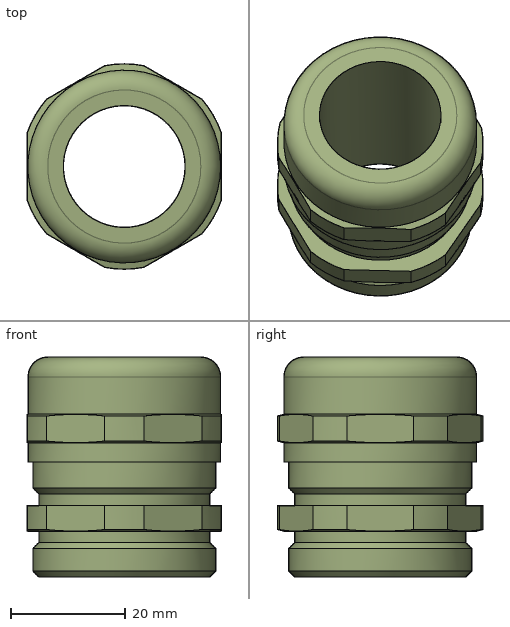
import cadquery as cq

height = 38.5
bore_radius = 10.62

thread_radius = 16.0
thread_chamfer = 1.05
neck_radius = thread_radius - thread_chamfer
lower_thread_top = 6.05
upper_thread_bottom = 14.55
upper_thread_top = 20.1

cap_radius = 16.85
cap_rounding = 3.45

hex_across_flats = 34.0
hex_corner_radius = 17.97
hex_bevel_height = 0.3
hex_rim_radius = cap_radius
lower_hex_bottom = 8.0
lower_hex_top = 12.5
upper_hex_bottom = 23.48
upper_hex_top = 28.5


def cylinder(radius, bottom, top):
    return cq.Workplane("XY").workplane(offset=bottom).circle(radius).extrude(top - bottom)


def threaded_section(bottom, top, edges):
    return cylinder(thread_radius, bottom, top).edges(edges).chamfer(thread_chamfer)


def hex_collar(bottom, top, top_bevelled):
    """Hexagon trimmed by a disc bevelled at its lower rim and, optionally, its upper rim."""
    prism = (
        cq.Workplane("XY")
        .workplane(offset=bottom)
        .polygon(6, hex_across_flats, circumscribed=True)
        .extrude(top - bottom)
    )
    trimming_profile = (
        cq.Workplane("XZ")
        .moveTo(0, bottom)
        .lineTo(hex_rim_radius, bottom)
        .lineTo(hex_corner_radius, bottom + hex_bevel_height)
    )
    if top_bevelled:
        trimming_profile = trimming_profile.lineTo(hex_corner_radius, top - hex_bevel_height)
        trimming_profile = trimming_profile.lineTo(hex_rim_radius, top)
    else:
        trimming_profile = trimming_profile.lineTo(hex_corner_radius, top)
    trimming_disc = trimming_profile.lineTo(0, top).close().revolve(360, (0, 0), (0, 1))
    return prism.intersect(trimming_disc)


body = threaded_section(0, lower_thread_top, "%CIRCLE")
body = body.union(cylinder(neck_radius, lower_thread_top, upper_thread_bottom))
body = body.union(threaded_section(upper_thread_bottom, upper_thread_top, "<Z"))
cap = cylinder(cap_radius, upper_thread_top, height).edges(">Z").fillet(cap_rounding)
body = body.union(cap)

body = body.union(hex_collar(lower_hex_bottom, lower_hex_top, top_bevelled=False))
body = body.union(hex_collar(upper_hex_bottom, upper_hex_top, top_bevelled=True))

result = body.cut(cylinder(bore_radius, 0, height))